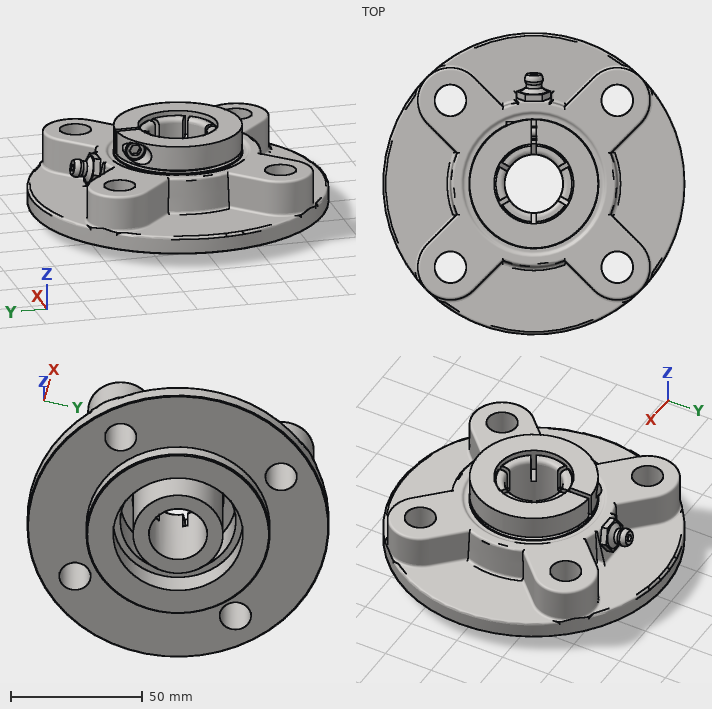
import cadquery as cq
import math

SPIGOT_DEPTH = 5.9
FLANGE_TOP = 7.0
PAD_TOP = 21.2
COLLAR_BOTTOM = 21.8
COLLAR_TOP = 31.4

FLANGE_DIAMETER = 115.0
SPIGOT_DIAMETER = 70.0
SPIGOT_CHAMFER = 0.5
FLANGE_CHAMFER = 0.3
BOLT_CIRCLE_DIAMETER = 89.9
BOLT_OFFSET = BOLT_CIRCLE_DIAMETER / 2 * math.sqrt(0.5)
BOLT_DIAMETER = 12.0
ARM_WIDTH = 25.0
OVERSIZE_DISC_DIAMETER = 138.0
EDGE_RADIUS = 1.0
HUB_FOOT_RADIUS = 32.1
HUB_TOP_RADIUS = 31.5
MOUTH_DIAMETER = 56.0
MOUTH_STEEPEST_DIAMETER = 54.0
MOUTH_FLOOR_DIAMETER = 52.0
MOUTH_SLOPE = 45.0
RING_DIAMETER = 49.5

FITTING_TILT = 12.5
BOSS_WIDTH = 13.3
BOSS_TOP_Y = 31.5
FITTING_DROP = 5.3
HEX_FLATS = 11.2
HEX_LENGTH = 2.6
FITTING_FLANGE_DIAMETER = 10.1
FITTING_NECK_DIAMETER = 6.0
FITTING_HEAD_DIAMETER = 7.0
FITTING_TIP_DIAMETER = 5.4
FITTING_HOLE_DIAMETER = 2.5
FITTING_HOLE_DEPTH = 1.2
NECK_START = 1.6
NECK_END = 3.1
HEAD_WIDEST = 4.4
HEAD_SHOULDER = 5.8
HEAD_TIP = 6.7
HEAD_SHOULDER_DIAMETER = 6.5

OUTER_RING_BOTTOM = 4.1
OUTER_RING_TOP = 20.6
OUTER_RING_CHAMFER = 0.2
OUTER_RING_BORE = 44.0
SHIELD_BORE = 34.7
SHIELD_THICKNESS = 1.2
SHIELD_RISE = 0.3
INNER_RING_DIAMETER = 34.3
INNER_RING_CHAMFER = 0.5
SHAFT_DIAMETER = 22.2
SHAFT_MOUTH_RADIUS = 1.8
SLEEVE_DIAMETER = 30.4
SLEEVE_TOP = 29.7
SLEEVE_CHAMFER = 0.7
SLIT_COUNT = 6
SLIT_WIDTH = 2.0
SLIT_FLOOR = 19.3

COLLAR_DIAMETER = 49.0
SCREW_Y = 19.7
SCREW_Z = (COLLAR_BOTTOM + COLLAR_TOP) / 2
SCREW_FACE_X = -10.5
SCREW_BOSS_DIAMETER = 8.0
SCREW_HEAD_DIAMETER = 7.0
SCREW_HEAD_LENGTH = 4.0
SCREW_SHANK_DIAMETER = 3.2
SCREW_LENGTH = 19.7
SOCKET_FLATS = 4.0
SOCKET_DEPTH = 2.0


def cylinder(diameter, bottom, top):
    """Upright cylinder on the bearing axis."""
    return cq.Workplane("XY").workplane(offset=bottom).circle(diameter / 2).extrude(top - bottom)


def crossed_arms(width, bottom, top):
    """Two round-ended bars that cross on the axis and end around the bolt holes."""
    length = BOLT_CIRCLE_DIAMETER + width
    plane = cq.Workplane("XY").workplane(offset=bottom)
    arm = plane.slot2D(length, width, 45).extrude(top - bottom)
    return arm.union(plane.slot2D(length, width, 135).extrude(top - bottom))


def hexagon(plane, flats, length):
    """Hexagonal prism with two flats parallel to the local X axis."""
    return cq.Workplane(plane).polygon(6, flats / math.cos(math.pi / 6)).extrude(length)


tilt = math.radians(FITTING_TILT)
fitting_plane = cq.Plane(
    origin=(
        0,
        BOSS_TOP_Y + FITTING_DROP * math.sin(tilt),
        PAD_TOP - FITTING_DROP * math.cos(tilt),
    ),
    xDir=(1, 0, 0),
    normal=(0, math.cos(tilt), math.sin(tilt)),
)


def make_hub():
    """Slightly tapered hub that joins the four arms."""
    height = PAD_TOP - FLANGE_TOP
    return cq.Workplane(
        cq.Solid.makeCone(HUB_FOOT_RADIUS, HUB_TOP_RADIUS, height, pnt=cq.Vector(0, 0, FLANGE_TOP))
    )


def make_boss():
    """Boss on the +Y side of the hub with its front face square to the fitting."""
    foot_y = BOSS_TOP_Y + (PAD_TOP - FLANGE_TOP) * math.tan(tilt)
    outline = [(0, FLANGE_TOP), (foot_y, FLANGE_TOP), (BOSS_TOP_Y, PAD_TOP), (0, PAD_TOP)]
    return cq.Workplane("YZ").polyline(outline).close().extrude(BOSS_WIDTH / 2, both=True)


def make_rim_rounding():
    """Ring of material outside the rounded upper rim of the flange, left whole at the arms."""
    radius = FLANGE_DIAMETER / 2
    corner = (
        cq.Workplane("XZ")
        .moveTo(radius, FLANGE_TOP - EDGE_RADIUS)
        .radiusArc((radius - EDGE_RADIUS, FLANGE_TOP), -EDGE_RADIUS)
        .lineTo(radius + EDGE_RADIUS, FLANGE_TOP)
        .lineTo(radius + EDGE_RADIUS, FLANGE_TOP - EDGE_RADIUS)
        .close()
        .revolve(360, (0, 0, 0), (0, 1, 0))
    )
    return corner.cut(crossed_arms(ARM_WIDTH + 2 * EDGE_RADIUS, 0, PAD_TOP))


def make_bearing_recess():
    """Through bore for the outer ring, opening with a cove and a rounding into a wide, shallow mouth."""
    slope = math.radians(MOUTH_SLOPE)
    ring_radius = RING_DIAMETER / 2
    floor_radius = MOUTH_FLOOR_DIAMETER / 2
    steepest_radius = MOUTH_STEEPEST_DIAMETER / 2
    mouth_radius = MOUTH_DIAMETER / 2
    rounding_width = mouth_radius - steepest_radius
    cove_width = steepest_radius - floor_radius
    steepest_z = PAD_TOP - rounding_width * math.tan(slope / 2)
    floor_z = steepest_z - cove_width * math.tan(slope / 2)
    return (
        cq.Workplane("XZ")
        .moveTo(0, -SPIGOT_DEPTH)
        .lineTo(ring_radius, -SPIGOT_DEPTH)
        .lineTo(ring_radius, floor_z)
        .lineTo(floor_radius, floor_z)
        .radiusArc((steepest_radius, steepest_z), -cove_width / math.sin(slope))
        .radiusArc((mouth_radius, PAD_TOP), rounding_width / math.sin(slope))
        .lineTo(0, PAD_TOP)
        .close()
        .revolve(360, (0, 0, 0), (0, 1, 0))
    )


def make_housing():
    pad = crossed_arms(ARM_WIDTH, FLANGE_TOP, PAD_TOP).union(make_hub()).union(make_boss())
    body = cylinder(OVERSIZE_DISC_DIAMETER, 0, FLANGE_TOP).union(pad)
    body = body.faces(">Z").edges().fillet(EDGE_RADIUS)
    foot_zone = cq.selectors.BoxSelector(
        (-FLANGE_DIAMETER / 2, -FLANGE_DIAMETER / 2, FLANGE_TOP - EDGE_RADIUS),
        (FLANGE_DIAMETER / 2, FLANGE_DIAMETER / 2, FLANGE_TOP + EDGE_RADIUS),
        boundingbox=True,
    )
    body = body.edges(foot_zone).fillet(EDGE_RADIUS)
    trim = cylinder(FLANGE_DIAMETER, 0, PAD_TOP).faces("<Z").chamfer(FLANGE_CHAMFER)
    body = body.intersect(trim).cut(make_rim_rounding())
    spigot = cylinder(SPIGOT_DIAMETER, -SPIGOT_DEPTH, 0).faces("<Z").chamfer(SPIGOT_CHAMFER)
    body = body.union(spigot).cut(make_bearing_recess())
    bolts = (
        cq.Workplane("XY")
        .rect(2 * BOLT_OFFSET, 2 * BOLT_OFFSET, forConstruction=True)
        .vertices()
        .circle(BOLT_DIAMETER / 2)
        .extrude(PAD_TOP)
    )
    return body.cut(bolts)


def make_grease_fitting():
    """Hexagon on the boss face, cone, neck and ball-shaped head with a greasing hole."""
    head = (
        cq.Workplane("XY")
        .polyline([
            (0, 0),
            (FITTING_FLANGE_DIAMETER / 2, 0),
            (FITTING_NECK_DIAMETER / 2, NECK_START),
            (FITTING_NECK_DIAMETER / 2, NECK_END),
            (FITTING_HEAD_DIAMETER / 2, HEAD_WIDEST),
        ])
        .threePointArc(
            (HEAD_SHOULDER_DIAMETER / 2, HEAD_SHOULDER), (FITTING_TIP_DIAMETER / 2, HEAD_TIP)
        )
        .lineTo(0, HEAD_TIP)
        .close()
        .revolve(360, (0, 0, 0), (0, 1, 0))
        .rotate((0, 0, 0), (1, 0, 0), FITTING_TILT)
        .translate((fitting_plane.origin + fitting_plane.zDir * HEX_LENGTH).toTuple())
    )
    hole = (
        cq.Workplane(fitting_plane)
        .workplane(offset=HEX_LENGTH + HEAD_TIP)
        .circle(FITTING_HOLE_DIAMETER / 2)
        .extrude(-FITTING_HOLE_DEPTH)
    )
    return hexagon(fitting_plane, HEX_FLATS, HEX_LENGTH).union(head).cut(hole)


def make_outer_ring():
    ring = cylinder(RING_DIAMETER, OUTER_RING_BOTTOM, OUTER_RING_TOP).faces(">Z").chamfer(OUTER_RING_CHAMFER)
    return ring.cut(cylinder(OUTER_RING_BORE, OUTER_RING_BOTTOM, OUTER_RING_TOP))


def make_shield():
    """Slightly dished washer that closes the gap between the two rings."""
    outer = OUTER_RING_BORE / 2
    inner = SHIELD_BORE / 2
    inner_top = OUTER_RING_TOP + SHIELD_RISE
    return (
        cq.Workplane("XZ")
        .polyline([
            (inner, inner_top - SHIELD_THICKNESS),
            (outer, OUTER_RING_TOP - SHIELD_THICKNESS),
            (outer, OUTER_RING_TOP),
            (inner, inner_top),
        ])
        .close()
        .revolve(360, (0, 0, 0), (0, 1, 0))
    )


def make_sleeve_slit():
    """Saw cut toward +Y whose floor rises from the shaft bore to the foot of the sleeve."""
    outline = [
        (0, SLIT_FLOOR),
        (SHAFT_DIAMETER / 2, SLIT_FLOOR),
        (SLEEVE_DIAMETER / 2, COLLAR_BOTTOM),
        (SLEEVE_DIAMETER / 2, SLEEVE_TOP),
        (0, SLEEVE_TOP),
    ]
    return cq.Workplane("YZ").polyline(outline).close().extrude(SLIT_WIDTH / 2, both=True)


def make_inner_ring():
    """Bearing ring with a slit sleeve that carries the clamping collar."""
    sleeve = cylinder(SLEEVE_DIAMETER, COLLAR_BOTTOM, SLEEVE_TOP).faces(">Z").chamfer(SLEEVE_CHAMFER)
    ring = cylinder(INNER_RING_DIAMETER, -SPIGOT_DEPTH, COLLAR_BOTTOM).faces(">Z").chamfer(INNER_RING_CHAMFER)
    ring = ring.union(sleeve).cut(cylinder(SHAFT_DIAMETER, -SPIGOT_DEPTH, SLEEVE_TOP))
    ring = ring.faces(">Z").edges(cq.selectors.RadiusNthSelector(0)).fillet(SHAFT_MOUTH_RADIUS)
    for index in range(SLIT_COUNT):
        ring = ring.cut(make_sleeve_slit().rotate((0, 0, 0), (0, 0, 1), index * 360 / SLIT_COUNT))
    return ring


screw_plane = cq.Plane(origin=(SCREW_FACE_X, SCREW_Y, SCREW_Z), xDir=(0, 1, 0), normal=(1, 0, 0))


def screw_cylinder(diameter, length):
    """Cylinder along the screw axis, starting at the outer face of the screw head."""
    return cq.Workplane(screw_plane).circle(diameter / 2).extrude(length)


def make_screw_blank():
    """Screw without its socket, which is also the shape of its hole in the collar."""
    head = screw_cylinder(SCREW_HEAD_DIAMETER, SCREW_HEAD_LENGTH)
    return head.union(screw_cylinder(SCREW_SHANK_DIAMETER, SCREW_LENGTH))


def make_collar():
    """Split collar with a round boss and a flat around the screw head."""
    collar = cylinder(COLLAR_DIAMETER, COLLAR_BOTTOM, COLLAR_TOP)
    collar = collar.union(screw_cylinder(SCREW_BOSS_DIAMETER, SCREW_HEAD_LENGTH))
    collar = collar.cut(screw_cylinder(SCREW_BOSS_DIAMETER, -COLLAR_DIAMETER / 2))
    collar = collar.cut(cylinder(SLEEVE_DIAMETER, COLLAR_BOTTOM, COLLAR_TOP))
    split = (
        cq.Workplane("XY")
        .workplane(offset=COLLAR_BOTTOM)
        .rect(SLIT_WIDTH, COLLAR_DIAMETER)
        .extrude(COLLAR_TOP - COLLAR_BOTTOM)
        .translate((0, COLLAR_DIAMETER / 2, 0))
    )
    return collar.cut(split).cut(make_screw_blank())


def make_screw():
    return make_screw_blank().cut(hexagon(screw_plane, SOCKET_FLATS, SOCKET_DEPTH))


housing = make_housing()
grease_fitting = make_grease_fitting().cut(housing)
outer_ring = make_outer_ring()
shield = make_shield()
inner_ring = make_inner_ring()
collar = make_collar()
screw = make_screw()

result = cq.Compound.makeCompound([
    housing.val(),
    grease_fitting.val(),
    outer_ring.val(),
    shield.val(),
    inner_ring.val(),
    collar.val(),
    screw.val(),
])